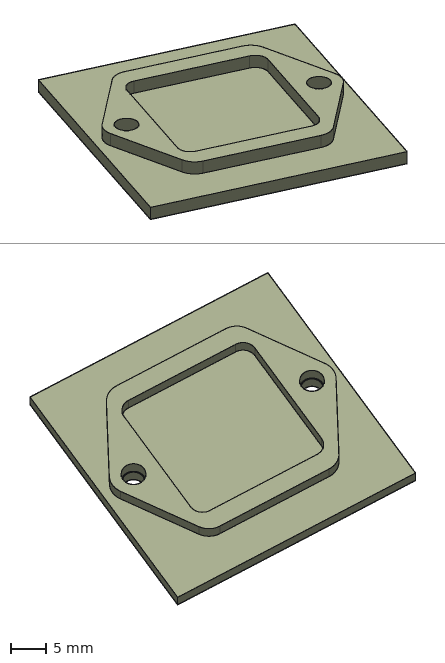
import cadquery as cq
import math

plate_side = 40.0
plate_thickness = 2.0

frame_width = 28.0
frame_thickness = 2.0
frame_tip_y = 19.0
frame_side_slope = math.radians(30)
frame_corner_radius = 3.0
window_side = 22.0
window_corner_radius = 2.0

plate_hole_diameter = 3.2
frame_hole_diameter = 3.5
hole_spacing = 30.0
hole_centers = [(0, -hole_spacing / 2), (0, hole_spacing / 2)]


def make_plate():
    """Square plate with its underside at Z = 0."""
    plate = cq.Workplane("XY").rect(plate_side, plate_side).extrude(plate_thickness)
    return plate.faces(">Z").workplane().pushPoints(hole_centers).hole(plate_hole_diameter)


def make_frame():
    """Rounded hexagonal frame with a square window, resting on the plate."""
    half_width = frame_width / 2
    shoulder_y = frame_tip_y - half_width * math.tan(frame_side_slope)
    outline = [
        (0, frame_tip_y),
        (half_width, shoulder_y),
        (half_width, -shoulder_y),
        (0, -frame_tip_y),
        (-half_width, -shoulder_y),
        (-half_width, shoulder_y),
    ]
    base = cq.Workplane("XY", origin=(0, 0, plate_thickness))
    frame = base.polyline(outline).close().extrude(frame_thickness)
    frame = frame.edges("|Z").fillet(frame_corner_radius)

    window = base.rect(window_side, window_side).extrude(frame_thickness)
    window = window.edges("|Z").fillet(window_corner_radius)
    screw_holes = base.pushPoints(hole_centers).circle(frame_hole_diameter / 2).extrude(frame_thickness)
    return frame.cut(window).cut(screw_holes)


plate = make_plate()
frame = make_frame()
result = cq.Compound.makeCompound([plate.val(), frame.val()])